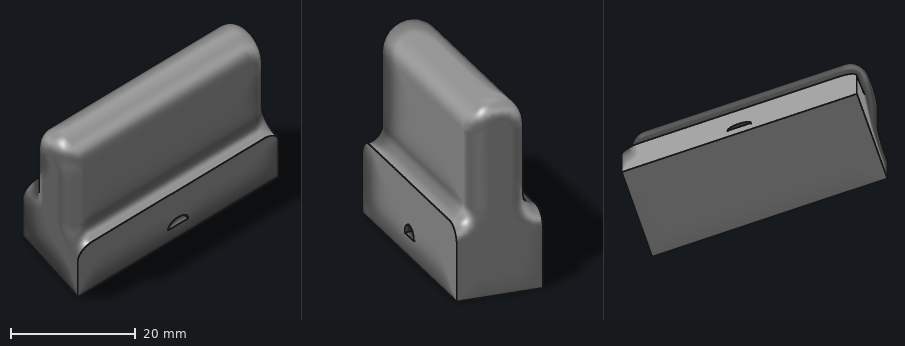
import cadquery as cq
import math

length = 40.0
base_width = 15.0
height = 33.5
grip_width = 10.0
left_shoulder = 13.5
right_shoulder = 13.05
end_round = 3.0
hole_radius = 2.0
hole_floor = 3.5

half_base = base_width / 2
half_grip = grip_width / 2
shoulder_radius = half_base - half_grip
arch_base = height - half_grip


def shoulder_middle(side, shoulder):
    """Middle point of the concave quarter arc between base side and grip."""
    reach = shoulder_radius * math.sqrt(0.5)
    return (side * (half_base - reach), shoulder + shoulder_radius - reach)


def make_body():
    """Extrude the base and round-topped grip along Y, centred on the origin."""
    return (
        cq.Workplane("XZ")
        .moveTo(-half_base, 0)
        .lineTo(half_base, 0)
        .lineTo(half_base, right_shoulder)
        .threePointArc(shoulder_middle(1, right_shoulder), (half_grip, right_shoulder + shoulder_radius))
        .lineTo(half_grip, arch_base)
        .threePointArc((0, height), (-half_grip, arch_base))
        .lineTo(-half_grip, left_shoulder + shoulder_radius)
        .threePointArc(shoulder_middle(-1, left_shoulder), (-half_base, left_shoulder))
        .close()
        .extrude(length / 2, both=True)
    )


def round_ends(body):
    """Round the end edges of the grip and the concave shoulders."""
    box_floor = min(left_shoulder, right_shoulder) - end_round
    upper_box = cq.selectors.BoxSelector(
        (-base_width, -length, box_floor), (base_width, length, 2 * height)
    )
    end_edges = body.faces("<Y or >Y").edges(upper_box)
    return end_edges.fillet(end_round)


def make_hole():
    """Half-round hole, flat side down, passing across the whole base."""
    return (
        cq.Workplane("YZ")
        .moveTo(-hole_radius, hole_floor)
        .lineTo(hole_radius, hole_floor)
        .threePointArc((0, hole_floor + hole_radius), (-hole_radius, hole_floor))
        .close()
        .extrude(half_base, both=True)
    )


result = round_ends(make_body()).cut(make_hole())